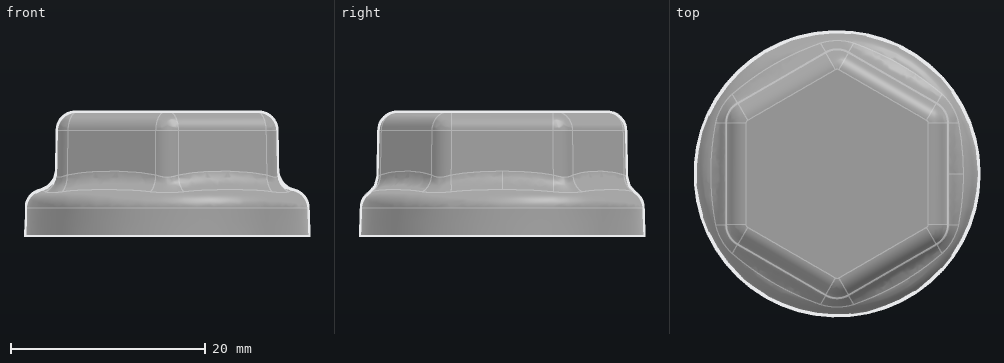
import cadquery as cq
import math

base_diameter = 29.3
total_height = 12.8

base_draft = 2.0
wall_height = 2.9

head_sides = 6
head_turn = 90.0
head_flat_distance = 23.08
head_draft = 1.0
head_corner_radius = 2.35

edge_radius = 2.0

base_radius = base_diameter / 2
head_corner_distance = head_flat_distance / math.cos(math.pi / head_sides)


def make_base():
    """Revolve the conical wall and the shoulder arc, which is tangent to that wall."""
    draft = math.radians(base_draft)
    wall_top_radius = base_radius - wall_height * math.tan(draft)
    arc_center_x = wall_top_radius - edge_radius * math.cos(draft)
    arc_center_z = wall_height - edge_radius * math.sin(draft)

    def arc_point(angle):
        return (
            arc_center_x + edge_radius * math.cos(angle),
            arc_center_z + edge_radius * math.sin(angle),
        )

    arc_end = arc_point(math.pi - draft)
    return (
        cq.Workplane("XZ")
        .lineTo(base_radius, 0)
        .lineTo(wall_top_radius, wall_height)
        .threePointArc(arc_point(math.pi / 2), arc_end)
        .lineTo(0, arc_end[1])
        .close()
        .revolve(360, (0, 0, 0), (0, 1, 0))
    )


def make_head():
    """Drafted hexagonal prism with rounded corners and a rounded top edge."""
    return (
        cq.Workplane("XY")
        .transformed(rotate=(0, 0, head_turn))
        .polygon(head_sides, head_corner_distance)
        .extrude(total_height, taper=head_draft)
        .edges("not(#Z)")
        .fillet(head_corner_radius)
        .faces(">Z")
        .edges()
        .fillet(edge_radius)
    )


shoulder_top = wall_height + edge_radius
foot_zone = cq.selectors.BoxSelector(
    (-base_radius, -base_radius, wall_height + edge_radius / 2),
    (base_radius, base_radius, shoulder_top),
    boundingbox=True,
)

result = make_base().union(make_head()).edges(foot_zone).fillet(edge_radius)